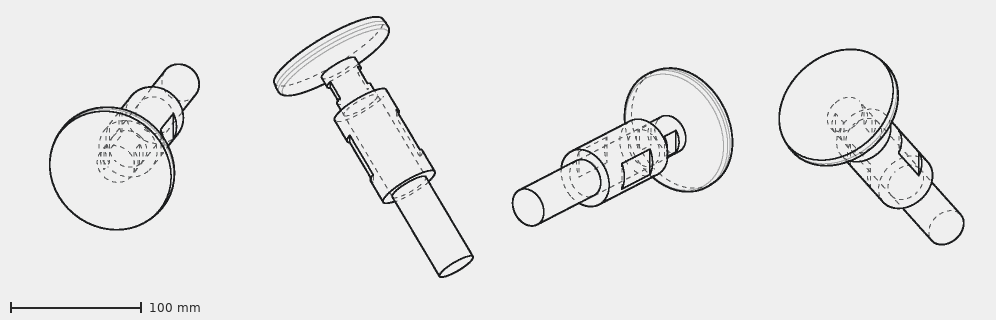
import cadquery as cq
import math

TOTAL_LENGTH = 197.0
ROD_RADIUS = 30.0 / 2

FOOT_RADIUS = 98.0 / 2
FOOT_BASE_RADIUS = FOOT_RADIUS - 0.5
TAPER_HEIGHT = 4.3
CONE_TOP = 15.2
CONE_ANGLE = 9.5
RIM_FILLET = 2.5

SLEEVE_RADIUS = 46.0 / 2
SLEEVE_LENGTH = 75.0
SLEEVE_START = 49.0

ROD_FLAT_LENGTH = 15.0
ROD_FLAT_START = 23.8
ROD_FLAT_WIDTH = 24.0
SLEEVE_FLAT_LENGTH = 36.0
SLEEVE_FLAT_START = SLEEVE_START + (SLEEVE_LENGTH - SLEEVE_FLAT_LENGTH) / 2
SLEEVE_FLAT_WIDTH = 41.0


def cut_wrench_flats(body, radius, across_flats, start, length):
    """Cut two opposite flats, facing -X and +X, into a round section."""
    depth = radius - across_flats / 2
    for side in (-1, 1):
        cutter = cq.Workplane("XY").box(2 * depth, length, 2 * radius)
        body = body.cut(cutter.translate((side * (across_flats / 2 + depth), start + length / 2, 0)))
    return body


def make_spindle():
    """Rod and conical foot turned in one piece, with wrench flats above the foot."""
    slope = math.radians(CONE_ANGLE)
    corner_y = CONE_TOP - (FOOT_RADIUS - ROD_RADIUS) * math.tan(slope)
    tangent_length = RIM_FILLET * math.tan((math.pi / 2 - slope) / 2)
    center_r = FOOT_RADIUS - RIM_FILLET
    center_y = corner_y - tangent_length
    arc_middle = (math.pi / 2 - slope) / 2
    profile = (
        cq.Workplane("XY")
        .lineTo(FOOT_BASE_RADIUS, 0)
        .lineTo(FOOT_RADIUS, TAPER_HEIGHT)
        .lineTo(FOOT_RADIUS, center_y)
        .threePointArc(
            (center_r + RIM_FILLET * math.cos(arc_middle), center_y + RIM_FILLET * math.sin(arc_middle)),
            (center_r + RIM_FILLET * math.sin(slope), center_y + RIM_FILLET * math.cos(slope)),
        )
        .lineTo(ROD_RADIUS, CONE_TOP)
        .lineTo(ROD_RADIUS, TOTAL_LENGTH)
        .lineTo(0, TOTAL_LENGTH)
        .close()
    )
    body = profile.revolve(360, (0, 0), (0, 1))
    return cut_wrench_flats(body, ROD_RADIUS, ROD_FLAT_WIDTH, ROD_FLAT_START, ROD_FLAT_LENGTH)


def make_sleeve():
    """Round sleeve bored to fit the rod, with wrench flats at mid-length."""
    body = (
        cq.Workplane("XZ", origin=(0, SLEEVE_START, 0))
        .circle(SLEEVE_RADIUS)
        .circle(ROD_RADIUS)
        .extrude(-SLEEVE_LENGTH)
    )
    return cut_wrench_flats(body, SLEEVE_RADIUS, SLEEVE_FLAT_WIDTH, SLEEVE_FLAT_START, SLEEVE_FLAT_LENGTH)


spindle = make_spindle()
sleeve = make_sleeve()
result = cq.Compound.makeCompound([spindle.val(), sleeve.val()])